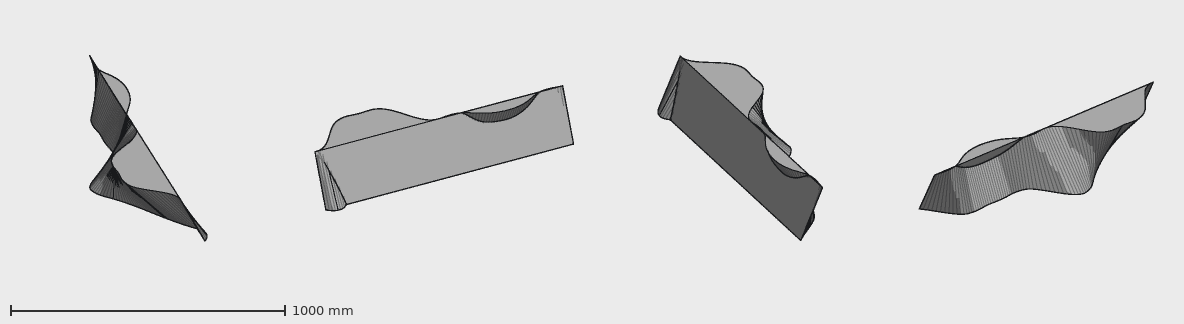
import cadquery as cq

length = 1000.0
height = 200.0
strips = 100

plane_foot = 93.0
plane_head = 0.0

web = 0.5

front_limit = -400.0
back_limit = 400.0

bottom_edge = [
    (0, plane_foot), (40, 44.0), (90, -17.0), (110, -33.0), (140, -41.0), (170, -42.0), (210, -37.0), (260, -38.0),
    (300, -36.0), (340, -32.0), (370, -35.0), (400, -47.0), (420, -67.0), (460, -119.0), (500, -167.0), (520, -182.0),
    (540, -189.0), (560, -185.0), (590, -169.0), (620, -141.0), (770, -23.0), (916.0, plane_foot), (932.0, 107.0),
    (958.0, 114.0), (980, 108.0), (length, plane_foot),
]
top_edge = [
    (0, plane_head), (40, -4.0), (75.0, -4.0), (100, 2.0), (150, 31.0), (185.0, 47.0), (248.0, 57.0),
    (294.0, 52.0), (330, 41.0), (370, 20.0), (403.0, 2.0), (435.0, -5.0), (470, -4.0), (500, 0.0), (530, -6.0),
    (570, -40.0), (620, -109.0), (650, -141.0), (670, -153.0), (700, -159.0), (750, -156.0), (800, -159.0),
    (835.0, -150.0), (870, -123.0), (935.0, -36.0), (960, -12.0), (980, -2.0), (length, plane_head),
]


def edge_points(stations, z):
    """Smooth curve through the stations, sampled at equal x steps."""
    curve = cq.Edge.makeSpline(
        [cq.Vector(x, y, z) for x, y in stations],
        parameters=[x / length for x, _ in stations],
    )
    samples = [curve.positionAt(i / strips, mode="parameter") for i in range(1, strips)]
    first = cq.Vector(*stations[0], z)
    last = cq.Vector(*stations[-1], z)
    return [first] + samples + [last]


def outline(points, y_limit):
    """Closed outline between an edge and a straight line at y_limit."""
    z = points[0].z
    corners = [cq.Vector(length, y_limit, z), cq.Vector(0, y_limit, z)]
    return cq.Wire.makePolygon(points + corners, close=True)


def ruled_body(bottom, top, y_limit):
    """Body between a ruled face and the vertical plane y = y_limit."""
    wires = [outline(bottom, y_limit), outline(top, y_limit)]
    return cq.Workplane(cq.Solid.makeLoft(wires, True))


def plane_body(offset, y_limit):
    """Body between the leaning plane, moved by offset in y, and y = y_limit."""
    profile = [
        (plane_foot + offset, 0),
        (plane_head + offset, height),
        (y_limit, height),
        (y_limit, 0),
    ]
    return cq.Workplane("YZ").polyline(profile).close().extrude(length)


bottom = edge_points(bottom_edge, 0)
top = edge_points(top_edge, height)

front_part = ruled_body(bottom, top, back_limit).intersect(plane_body(web, front_limit))
back_part = ruled_body(bottom, top, front_limit).intersect(plane_body(-web, back_limit))

result = front_part.union(back_part)